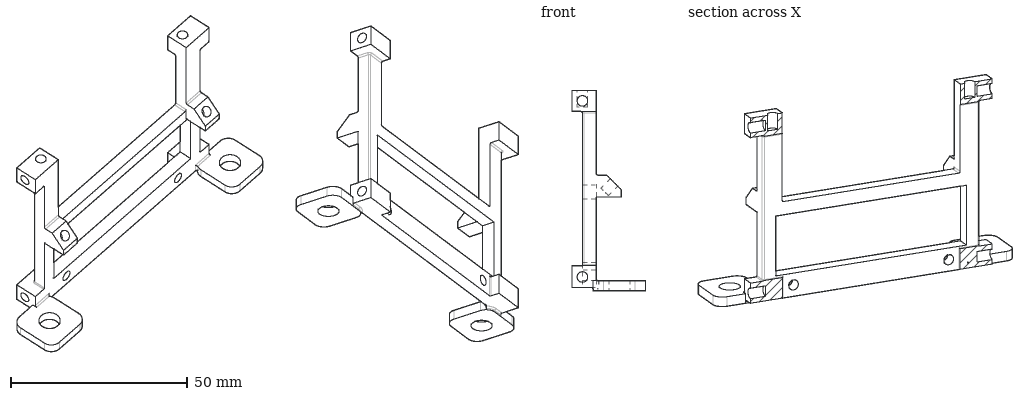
import cadquery as cq

HEIGHT = 57.0
DEPTH = 21.0
HALF_SPAN = 47.0

BLOCK_DEPTH = 7.0
UPPER_BLOCK_HEIGHT = 6.0
LOWER_BLOCK_HEIGHT = 6.2
BLOCK_INNER_Y = 28.0
BLOCK_OUTER_Y = 38.1
LOWER_BLOCK_Z = 0.9

FRAME_FRONT_X = 3.0
POST_OUTER_Y = 34.1
LOWER_POST_INNER_Y = 30.0
MID_RAIL_Z = 26.0
MID_RAIL_HEIGHT = 4.0
LOWER_RAIL_TOP_Z = 8.0

HOOK_TIP_X = 14.1
HOOK_BOTTOM_Z = 26.6
HOOK_HEIGHT = 6.3
HOOK_SLOPE = 4.2

FOOT_SIZE = 14.9
FOOT_THICKNESS = 2.9
FOOT_CORNER_RADIUS = 3.0
FOOT_HOLE_DIAMETER = 6.0

SCREW_HOLE_DIAMETER = 3.0
BLOCK_HOLE_DEPTH = 4.7
HOOK_HOLE_DEPTH = 3.8
HOLE_INSET = 3.0
RAIL_HOLE_Y = 24.4
RAIL_HOLE_Z = 4.4

FILLET = 0.5
LOWER_FILLET = 0.3
SELECTION_MARGIN = 0.05

UPPER_BLOCK_Z = HEIGHT - UPPER_BLOCK_HEIGHT
LOWER_BLOCK_TOP_Z = LOWER_BLOCK_Z + LOWER_BLOCK_HEIGHT
MID_RAIL_TOP_Z = MID_RAIL_Z + MID_RAIL_HEIGHT
HOOK_TOP_Z = HOOK_BOTTOM_Z + HOOK_HEIGHT
SCREW_Y = BLOCK_INNER_Y + HOLE_INSET
FOOT_CENTRE_X = DEPTH - FOOT_SIZE / 2
FOOT_CENTRE_Y = HALF_SPAN - FOOT_SIZE / 2
FOOT_FRONT_X = DEPTH - FOOT_SIZE


def box(x_range, y_range, z_range):
    """Box spanning the given (start, end) ranges."""
    sizes = [end - start for start, end in (x_range, y_range, z_range)]
    corner = (x_range[0], y_range[0], z_range[0])
    return cq.Workplane("XY").box(*sizes, centered=False).translate(corner)


def hole(centre, direction, diameter, depth):
    """Cylinder to cut, starting at centre and running along direction."""
    cylinder = cq.Solid.makeCylinder(diameter / 2, depth, cq.Vector(*centre), cq.Vector(*direction))
    return cq.Workplane(cylinder)


def fillet_edges(body, radius, x_range, y_range, z_range):
    """Fillet the edges lying wholly inside the given (start, end) ranges."""
    ranges = (x_range, y_range, z_range)
    low = [start - SELECTION_MARGIN for start, _ in ranges]
    high = [end + SELECTION_MARGIN for _, end in ranges]
    return body.edges(cq.selectors.BoxSelector(low, high, boundingbox=True)).fillet(radius)


def make_frame_half():
    """Post, blocks and half of both rails."""
    frame_x = (FRAME_FRONT_X, BLOCK_DEPTH)
    block_x = (0, BLOCK_DEPTH)
    block_y = (BLOCK_INNER_Y, BLOCK_OUTER_Y)

    lower_post = box(frame_x, (LOWER_POST_INNER_Y, POST_OUTER_Y), (LOWER_BLOCK_Z, HEIGHT))
    upper_post = box(frame_x, (BLOCK_INNER_Y, POST_OUTER_Y), (MID_RAIL_Z, HEIGHT))
    mid_rail = box(frame_x, (0, POST_OUTER_Y), (MID_RAIL_Z, MID_RAIL_TOP_Z))
    lower_rail = box(frame_x, (0, POST_OUTER_Y), (LOWER_BLOCK_Z, LOWER_RAIL_TOP_Z))
    frame = lower_post.union(upper_post).union(mid_rail).union(lower_rail)

    frame = frame.edges(cq.selectors.NearestToPointSelector((FRAME_FRONT_X, POST_OUTER_Y, HEIGHT / 2)))
    frame = frame.fillet(FILLET)

    for block_z in ((LOWER_BLOCK_Z, LOWER_BLOCK_TOP_Z), (UPPER_BLOCK_Z, HEIGHT)):
        frame = frame.union(box(block_x, block_y, block_z))
    return frame


def make_hook():
    """Hook behind the post, with a 45 degree slope at its tip."""
    root_x = FRAME_FRONT_X + FILLET
    outline = [
        (root_x, HOOK_BOTTOM_Z),
        (HOOK_TIP_X, HOOK_BOTTOM_Z),
        (HOOK_TIP_X, HOOK_TOP_Z - HOOK_SLOPE),
        (HOOK_TIP_X - HOOK_SLOPE, HOOK_TOP_Z),
        (root_x, HOOK_TOP_Z),
    ]
    width = POST_OUTER_Y - BLOCK_INNER_Y
    hook = cq.Workplane("XZ").polyline(outline).close().extrude(-width)
    return hook.translate((0, BLOCK_INNER_Y, 0))


def make_foot():
    """Rounded square mounting foot."""
    foot = cq.Workplane("XY").rect(FOOT_SIZE, FOOT_SIZE).extrude(FOOT_THICKNESS)
    foot = foot.edges("|Z").fillet(FOOT_CORNER_RADIUS)
    return foot.translate((FOOT_CENTRE_X, FOOT_CENTRE_Y, 0))


def soften_joints(body):
    """Fillet the inside corners between post, rails, blocks, hook and foot."""
    frame_x = (FRAME_FRONT_X, BLOCK_DEPTH)
    back_x = (BLOCK_DEPTH, BLOCK_DEPTH)
    block_y = (BLOCK_INNER_Y, BLOCK_OUTER_Y)
    post_y = (BLOCK_INNER_Y, POST_OUTER_Y)
    inner_y = (BLOCK_INNER_Y, BLOCK_INNER_Y)

    foot_to_block_back = (FILLET, back_x, block_y, (LOWER_BLOCK_Z, FOOT_THICKNESS))
    foot_to_block_underside = (FILLET, (FOOT_FRONT_X, BLOCK_DEPTH), block_y, (LOWER_BLOCK_Z, LOWER_BLOCK_Z))
    post_to_upper_block = (FILLET, frame_x, post_y, (UPPER_BLOCK_Z, UPPER_BLOCK_Z))
    frame_to_lower_block = (LOWER_FILLET, frame_x, post_y, (LOWER_BLOCK_Z, LOWER_BLOCK_TOP_Z))
    post_to_mid_rail = (FILLET, frame_x, inner_y, (MID_RAIL_TOP_Z, MID_RAIL_TOP_Z))
    post_to_hook = (FILLET, back_x, post_y, (HOOK_TOP_Z, HOOK_TOP_Z))

    for joint in (
        foot_to_block_back,
        foot_to_block_underside,
        post_to_upper_block,
        frame_to_lower_block,
        post_to_mid_rail,
        post_to_hook,
    ):
        body = fillet_edges(body, *joint)
    return body


def make_holes():
    """Cutters for the blind holes in blocks and hook and the through holes in rail and foot."""
    slope_centre = (HOOK_TIP_X - HOOK_SLOPE / 2, SCREW_Y, HOOK_TOP_Z - HOOK_SLOPE / 2)
    cutters = [
        hole((HOLE_INSET, SCREW_Y, HEIGHT), (0, 0, -1), SCREW_HOLE_DIAMETER, BLOCK_HOLE_DEPTH),
        hole(slope_centre, (-1, 0, -1), SCREW_HOLE_DIAMETER, HOOK_HOLE_DEPTH),
        hole((0, RAIL_HOLE_Y, RAIL_HOLE_Z), (1, 0, 0), SCREW_HOLE_DIAMETER, BLOCK_DEPTH),
        hole((FOOT_CENTRE_X, FOOT_CENTRE_Y, 0), (0, 0, 1), FOOT_HOLE_DIAMETER, FOOT_THICKNESS),
    ]
    for z in (LOWER_BLOCK_Z + HOLE_INSET, HEIGHT - HOLE_INSET):
        side_centre = (HOLE_INSET, BLOCK_OUTER_Y, z)
        cutters.append(hole(side_centre, (0, -1, 0), SCREW_HOLE_DIAMETER, BLOCK_HOLE_DEPTH))
    return cutters


half = make_frame_half().union(make_hook()).union(make_foot())
half = soften_joints(half)
for cutter in make_holes():
    half = half.cut(cutter)

result = half.union(half.mirror("XZ")).clean()